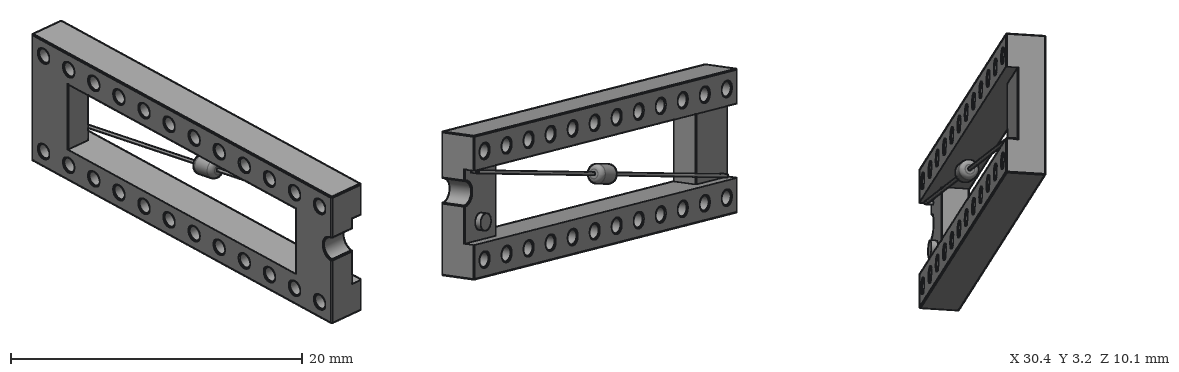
import cadquery as cq
import math

length = 30.4
height = 10.1
overall_depth = 3.2
frame_depth = 2.8
window_length = 23.0
window_height = 5.2
bar_depth = 1.98
edge_chamfer = 0.075

hole_count = 12
row_length = 27.95
row_spacing = 7.6
hole_diameter = 1.03

notch_radius = 0.85
notch_z = 0.9

boss_radius = 0.6
boss_height = 0.45
boss_z = -1.3

body_radius = 0.7
body_length = 2.0
body_rounding = 0.35
wire_radius = 0.12
lead_end_x = 14.38
lead_end_z = 2.37

tolerance = 0.0003

hole_pitch = row_length / (hole_count - 1)
frame_front = -overall_depth / 2
frame_back = frame_front + frame_depth
bar_back = frame_front + bar_depth
axis_y = overall_depth / 2 - body_radius
lead_angle = math.degrees(math.atan2(lead_end_z, lead_end_x))
boss_x = (length + window_length) / 4


def box_between(size_x, size_z, y_start, y_end):
    """Box centred on X and Z that spans the given Y range."""
    middle = (y_start + y_end) / 2
    return cq.Workplane("XY").box(size_x, y_end - y_start, size_z).translate((0, middle, 0))


def cylinder_along_y(x, z, radius, y_start, y_end):
    start = cq.Vector(x, y_start, z)
    return cq.Workplane(obj=cq.Solid.makeCylinder(radius, y_end - y_start, start, cq.Vector(0, 1, 0)))


def is_chamfered(edge):
    """Every frame edge except the sharp ones along the walls of the window and channel."""
    return abs(abs(edge.Center().z) - window_height / 2) > tolerance


def make_frame():
    frame = box_between(length, height, frame_front, frame_back)
    window = box_between(window_length, window_height, frame_front, frame_back)
    channel = box_between(length, window_height, bar_back, frame_back)
    notch = cylinder_along_y(length / 2, notch_z, notch_radius, frame_front, frame_back)
    frame = frame.cut(window).cut(channel).cut(notch)

    holes = (
        cq.Workplane("XZ", origin=(0, frame_back, 0))
        .rarray(hole_pitch, row_spacing, hole_count, 2)
        .circle(hole_diameter / 2)
        .extrude(frame_depth)
    )
    boss = cylinder_along_y(boss_x, boss_z, boss_radius, bar_back, bar_back + boss_height)
    frame = frame.cut(holes).edges().filter(is_chamfered).chamfer(edge_chamfer)
    return frame.union(boss)


def make_component():
    """Rounded body on a straight wire whose bent ends stand on the end bars."""
    body = (
        cq.Workplane("YZ")
        .circle(body_radius)
        .extrude(body_length / 2, both=True)
        .edges()
        .fillet(body_rounding)
        .rotate((0, 0, 0), (0, 1, 0), -lead_angle)
        .translate((0, axis_y, 0))
    )
    lead_path = cq.Workplane("XY").polyline(
        [
            (-lead_end_x, bar_back, -lead_end_z),
            (-lead_end_x, axis_y, -lead_end_z),
            (lead_end_x, axis_y, lead_end_z),
            (lead_end_x, bar_back, lead_end_z),
        ]
    )
    wire = (
        cq.Workplane("XZ", origin=(-lead_end_x, bar_back, -lead_end_z))
        .circle(wire_radius)
        .sweep(lead_path, transition="round")
    )
    return body.union(wire)


result = make_frame().union(make_component())